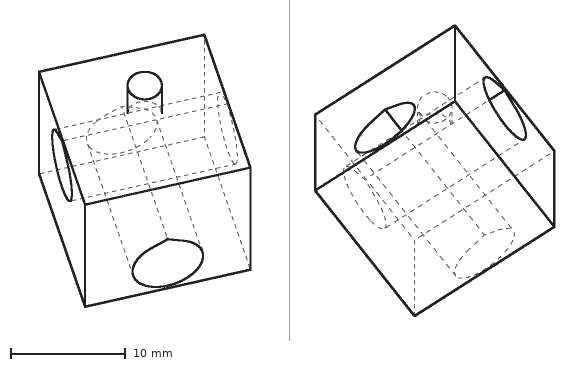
import cadquery as cq
import math

block_size = 15.0
pin_diameter = 3.0
pin_height = 5.0
pin_fillet = 1.0

bore_diameter = 6.4
roof_height = 3.6
wall = 0.4
upper_bore_z = block_size - wall - roof_height
lower_bore_z = wall + bore_diameter / 2


def teardrop_bore(axis_z):
    """Teardrop bore along Y, with flat roof faces tangent to the round bore."""
    radius = bore_diameter / 2
    tangent_angle = math.acos(radius / roof_height)
    tangent_x = radius * math.sin(tangent_angle)
    tangent_z = axis_z + radius * math.cos(tangent_angle)
    return (
        cq.Workplane("XZ")
        .moveTo(0, axis_z + roof_height)
        .lineTo(tangent_x, tangent_z)
        .threePointArc((0, axis_z - radius), (-tangent_x, tangent_z))
        .close()
        .extrude(block_size / 2, both=True)
    )


block = cq.Workplane("XY").box(block_size, block_size, block_size, centered=(True, True, False))

pin_radius = pin_diameter / 2
flare_radius = pin_radius + pin_fillet
flare_top = block_size + pin_fillet
pin_top = block_size + pin_height
arc_offset = pin_fillet * math.sqrt(0.5)
pin = (
    cq.Workplane("XZ")
    .moveTo(0, block_size)
    .lineTo(flare_radius, block_size)
    .threePointArc((flare_radius - arc_offset, flare_top - arc_offset), (pin_radius, flare_top))
    .lineTo(pin_radius, pin_top)
    .lineTo(0, pin_top)
    .close()
    .revolve(360, (0, 0, 0), (0, 1, 0))
)

upper_bore = teardrop_bore(upper_bore_z)
lower_bore = teardrop_bore(lower_bore_z).rotate((0, 0, 0), (0, 0, 1), 90)

result = block.union(pin).cut(upper_bore).cut(lower_bore)